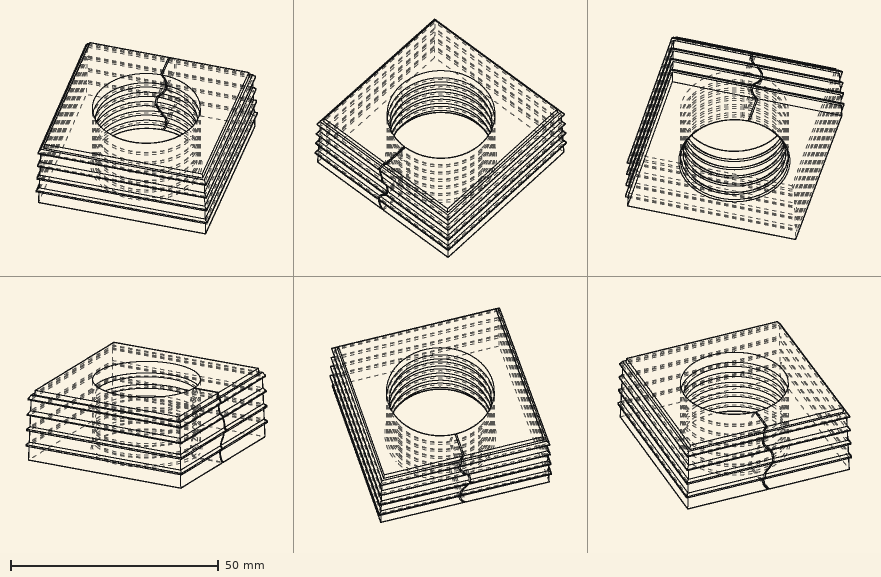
import cadquery as cq
import math

height = 17.7
width = 43.25
depth = 42.85
half_width = width / 2
side_taper = 0.195
depth_inset = (width - depth) / 2

base_half = 21.2
waist_half = 20.7
ledge_z = 16.55
ledge_half = waist_half
lip_foot_half = 20.15
lip_top_half = 19.98

rib_foot_z = 3.65
rib_pitch = 3.95
rib_count = 4
rib_tip_step = 0.11
low_rib_land = 0.4
low_rib_flank = 0.55
high_rib_land = 0.2
high_rib_flank = 0.85

bore_radius = 13.0
crest_radius = 12.32
bore_rib_count = 5
bore_pitch = height / (bore_rib_count + 1)
bore_rib_height = 0.75
bore_chamfer = 0.4

slit_width = 0.368
wave_diameter = 8.0
wave_count = 3


def wall_half(z):
    """Half width of the drafted wall between the ribs."""
    top_z = rib_foot_z + (rib_count - 1) * rib_pitch
    return base_half + (waist_half - base_half) * z / top_z


def outer_profile():
    """Half width against height, as (z, half width) from the bottom up.

    The flank of the highest rib runs up to the ledge.
    """
    points = [(0, base_half)]
    for i in range(rib_count):
        foot_z = rib_foot_z + i * rib_pitch
        if i < rib_count // 2:
            land, flank = low_rib_land, low_rib_flank
        else:
            land, flank = high_rib_land, high_rib_flank
        land_top_z = foot_z + land
        tip = half_width - i * rib_tip_step
        points += [(foot_z, wall_half(foot_z)), (foot_z, tip), (land_top_z, tip)]
        if i < rib_count - 1:
            root_z = land_top_z + flank
            points.append((root_z, wall_half(root_z)))
    points += [(ledge_z, ledge_half), (ledge_z, lip_foot_half), (height, lip_top_half)]
    return points


def outline(half):
    """Corners of the nearly square outline, narrower toward -Y."""
    y = half - depth_inset
    back, front = half, half - side_taper
    return [(-front, -y), (front, -y), (back, y), (-back, y)]


def layer(bottom, top):
    """Drafted slab between two (z, half width) levels."""
    (z0, half0), (z1, half1) = bottom, top
    return (
        cq.Workplane("XY", origin=(0, 0, z0))
        .polyline(outline(half0)).close()
        .workplane(offset=z1 - z0)
        .polyline(outline(half1)).close()
        .loft(ruled=True)
    )


def block():
    """Ribbed outer body without openings."""
    profile = outer_profile()
    body = None
    for bottom, top in zip(profile, profile[1:]):
        if top[0] == bottom[0]:
            continue
        slab = layer(bottom, top)
        body = slab if body is None else body.union(slab)
    return body


def bore():
    """Solid of the opening: the internal ribs have sloping tops and flat undersides."""
    core = cq.Workplane("XZ").moveTo(0, 0)
    core = core.lineTo(bore_radius + bore_chamfer, 0).lineTo(bore_radius, bore_chamfer)
    for i in range(1, bore_rib_count + 1):
        flank_top_z = i * bore_pitch
        crest_z = flank_top_z - bore_rib_height
        core = (
            core.lineTo(bore_radius, crest_z)
            .lineTo(crest_radius, crest_z)
            .lineTo(bore_radius, flank_top_z)
        )
    core = core.lineTo(bore_radius, height).lineTo(0, height).close()
    return core.revolve(360, (0, 0, 0), (0, 1, 0))


def slit():
    """Cut made of equal arcs, bulging to +X and -X in turn."""
    chord = height / wave_count
    wave_radius = wave_diameter / 2
    rise = wave_radius - math.sqrt(wave_radius**2 - (chord / 2) ** 2)
    side = slit_width / 2

    cut = cq.Workplane("XZ").moveTo(side, 0)
    bulges = [rise * (-1) ** i for i in range(wave_count)]
    for i, bulge in enumerate(bulges):
        cut = cut.threePointArc((side + bulge, (i + 0.5) * chord), (side, (i + 1) * chord))
    cut = cut.lineTo(-side, height)
    for i, bulge in reversed(list(enumerate(bulges))):
        cut = cut.threePointArc((bulge - side, (i + 0.5) * chord), (-side, i * chord))
    return cut.close().extrude(-half_width)


result = block().cut(bore()).cut(slit())